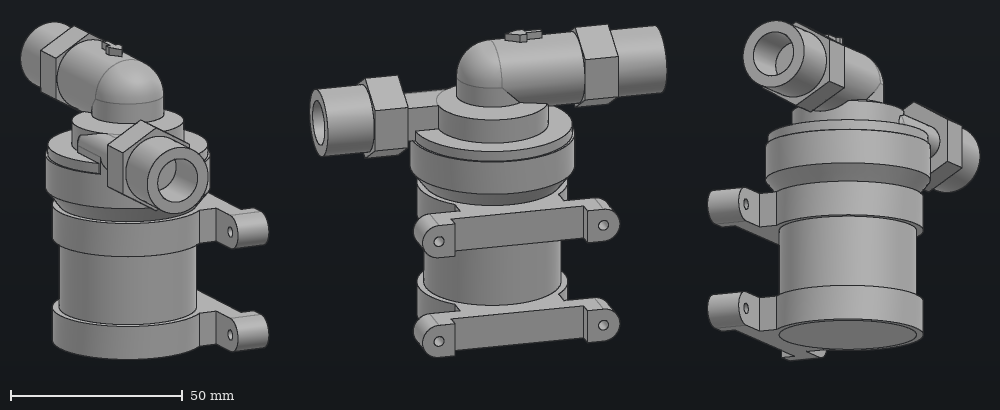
import cadquery as cq

BARREL_RADIUS = 20.0
TAPER_BOTTOM_Z = 41.0
TAPER_HEIGHT = 5.0
FLANGE_RADIUS = 24.0
FLANGE_HEIGHT = 10.0
STEP_RADIUS = 23.3
STEP_HEIGHT = 3.0
HUB_RADIUS = 16.3
FLANGE_BOTTOM_Z = TAPER_BOTTOM_Z + TAPER_HEIGHT
FLANGE_TOP_Z = FLANGE_BOTTOM_Z + FLANGE_HEIGHT
STEP_TOP_Z = FLANGE_TOP_Z + STEP_HEIGHT

NUT_ACROSS_CORNERS = 25.0
NUT_WIDTH = 10.0
PIPE_DIAMETER = 19.8
BORE_DIAMETER = 13.0

INLET_Z = 73.9
ELBOW_RADIUS = 10.5
HUB_CONE_HEIGHT = 1.8
INLET_NUT_X = -25.0
INLET_PIPE_LENGTH = 15.0

OUTLET_Y = -8.8
OUTLET_DUCT_RADIUS = 5.1
OUTLET_Z = FLANGE_TOP_Z + OUTLET_DUCT_RADIUS
DUCT_AXIS_Y = -12.1
DUCT_END_FILLET = 2.0
OUTLET_NUT_X = 26.0
OUTLET_PIPE_LENGTH = 14.0
HUB_TOP_Z = OUTLET_Z + OUTLET_DUCT_RADIUS

ARROW_TOP_Z = 86.5
ARROW_TAIL_X = -14.8
ARROW_SHAFT_LENGTH = 4.9
ARROW_SHOULDER_LENGTH = 2.1
ARROW_TIP_LENGTH = 4.0
ARROW_SHAFT_WIDTH = 1.8
ARROW_HEAD_WIDTH = 4.3

CLAMP_HEIGHT = 10.0
CLAMP_RADIUS = 22.0
CLAMP_BOTTOMS_Z = (0.0, TAPER_BOTTOM_Z - CLAMP_HEIGHT)
NECK_WIDTH = 31.4
PLATE_FRONT_Y = 20.9
PLATE_BACK_Y = 31.0
RECESS_FLOOR_Y = 26.8
RECESS_WIDTH = 40.0
HOLE_SPACING = 49.7
HOLE_DIAMETER = 3.0
PLATE_LENGTH = HOLE_SPACING + CLAMP_HEIGHT


def make_barrel():
    """Stepped barrel, flange and coned hub as one revolved profile."""
    profile = [
        (0, 0),
        (BARREL_RADIUS, 0),
        (BARREL_RADIUS, TAPER_BOTTOM_Z),
        (FLANGE_RADIUS, FLANGE_BOTTOM_Z),
        (FLANGE_RADIUS, FLANGE_TOP_Z),
        (STEP_RADIUS, FLANGE_TOP_Z),
        (STEP_RADIUS, STEP_TOP_Z),
        (HUB_RADIUS, STEP_TOP_Z),
        (HUB_RADIUS, HUB_TOP_Z),
        (ELBOW_RADIUS, HUB_TOP_Z + HUB_CONE_HEIGHT),
        (0, HUB_TOP_Z + HUB_CONE_HEIGHT),
    ]
    return cq.Workplane("XZ").polyline(profile).close().revolve(360, (0, 0), (0, 1))


def make_elbow():
    """Vertical riser and horizontal inlet tube joined by a ball."""
    riser = cq.Workplane("XY", origin=(0, 0, STEP_TOP_Z)).circle(ELBOW_RADIUS).extrude(INLET_Z - STEP_TOP_Z)
    tube = cq.Workplane("YZ", origin=(0, 0, INLET_Z)).circle(ELBOW_RADIUS).extrude(INLET_NUT_X)
    ball = cq.Workplane("XY", origin=(0, 0, INLET_Z)).sphere(ELBOW_RADIUS)
    return riser.union(tube).union(ball)


def make_arrow():
    """Flow arrow pointing along +X, rising from inside the inlet tube."""
    shoulder_x = ARROW_TAIL_X + ARROW_SHAFT_LENGTH
    head_x = shoulder_x + ARROW_SHOULDER_LENGTH
    return (
        cq.Workplane("XY", origin=(0, 0, INLET_Z))
        .moveTo(ARROW_TAIL_X, -ARROW_SHAFT_WIDTH / 2)
        .lineTo(shoulder_x, -ARROW_SHAFT_WIDTH / 2)
        .lineTo(shoulder_x, -ARROW_HEAD_WIDTH / 2)
        .lineTo(head_x, -ARROW_HEAD_WIDTH / 2)
        .lineTo(head_x + ARROW_TIP_LENGTH, 0)
        .lineTo(head_x, ARROW_HEAD_WIDTH / 2)
        .lineTo(shoulder_x, ARROW_HEAD_WIDTH / 2)
        .lineTo(shoulder_x, ARROW_SHAFT_WIDTH / 2)
        .lineTo(ARROW_TAIL_X, ARROW_SHAFT_WIDTH / 2)
        .close()
        .extrude(ARROW_TOP_Z - INLET_Z)
    )


def make_outlet_duct():
    """Round-sided duct to the outlet nut, with a square-sided foot inside the flange outline."""
    side_y = DUCT_AXIS_Y - OUTLET_DUCT_RADIUS
    duct = (
        cq.Workplane("YZ")
        .moveTo(0, FLANGE_TOP_Z)
        .lineTo(0, HUB_TOP_Z)
        .lineTo(DUCT_AXIS_Y, HUB_TOP_Z)
        .threePointArc((side_y, OUTLET_Z), (DUCT_AXIS_Y, FLANGE_TOP_Z))
        .close()
        .extrude(OUTLET_NUT_X)
    )
    foot = (
        cq.Workplane("XY", origin=(0, 0, FLANGE_TOP_Z))
        .rect(OUTLET_NUT_X, side_y, centered=False)
        .extrude(OUTLET_DUCT_RADIUS)
    )
    flange_outline = (
        cq.Workplane("XY", origin=(0, 0, FLANGE_TOP_Z)).circle(FLANGE_RADIUS).extrude(OUTLET_DUCT_RADIUS)
    )
    outer_side = cq.selectors.BoxSelector(
        (-1, side_y - 1, FLANGE_TOP_Z), (1, DUCT_AXIS_Y - 1, HUB_TOP_Z), boundingbox=False
    )
    return duct.union(foot.intersect(flange_outline)).edges("<X").edges(outer_side).fillet(DUCT_END_FILLET)


def make_threaded_end(center, direction, pipe_length):
    """Hexagonal nut and bored pipe; center is on the nut's inner face, direction is +1 or -1 along X."""
    nut = (
        cq.Workplane("YZ", origin=center)
        .transformed(rotate=(0, 0, 90))
        .polygon(6, NUT_ACROSS_CORNERS)
        .extrude(direction * NUT_WIDTH)
    )
    x, y, z = center
    pipe = (
        cq.Workplane("YZ", origin=(x + direction * NUT_WIDTH, y, z))
        .circle(PIPE_DIAMETER / 2)
        .circle(BORE_DIAMETER / 2)
        .extrude(direction * pipe_length)
    )
    return nut.union(pipe)


def make_pump():
    inlet = make_threaded_end((INLET_NUT_X, 0, INLET_Z), -1, INLET_PIPE_LENGTH)
    outlet = make_threaded_end((OUTLET_NUT_X, OUTLET_Y, OUTLET_Z), 1, OUTLET_PIPE_LENGTH)
    return (
        make_barrel()
        .union(make_elbow())
        .union(make_arrow())
        .union(make_outlet_duct())
        .union(inlet)
        .union(outlet)
    )


def make_clamp(bottom_z):
    """Ring around the barrel with a neck and a round-ended, recessed mounting plate."""
    base = cq.Workplane("XY", origin=(0, 0, bottom_z))
    ring = base.circle(CLAMP_RADIUS).extrude(CLAMP_HEIGHT)
    neck = base.center(0, RECESS_FLOOR_Y / 2).rect(NECK_WIDTH, RECESS_FLOOR_Y).extrude(CLAMP_HEIGHT)
    back = cq.Workplane("XZ", origin=(0, PLATE_BACK_Y, bottom_z + CLAMP_HEIGHT / 2))
    plate_depth = PLATE_BACK_Y - PLATE_FRONT_Y
    plate = back.slot2D(PLATE_LENGTH, CLAMP_HEIGHT).extrude(plate_depth)
    recess = back.rect(RECESS_WIDTH, CLAMP_HEIGHT).extrude(PLATE_BACK_Y - RECESS_FLOOR_Y)
    holes = back.rarray(HOLE_SPACING, 1, 2, 1).circle(HOLE_DIAMETER / 2).extrude(plate_depth)
    barrel_bore = base.circle(BARREL_RADIUS).extrude(CLAMP_HEIGHT)
    return ring.union(neck).union(plate).cut(recess).cut(holes).cut(barrel_bore)


pump = make_pump()
clamps = [make_clamp(bottom_z) for bottom_z in CLAMP_BOTTOMS_Z]

result = cq.Compound.makeCompound([pump.val(), *[clamp.val() for clamp in clamps]])